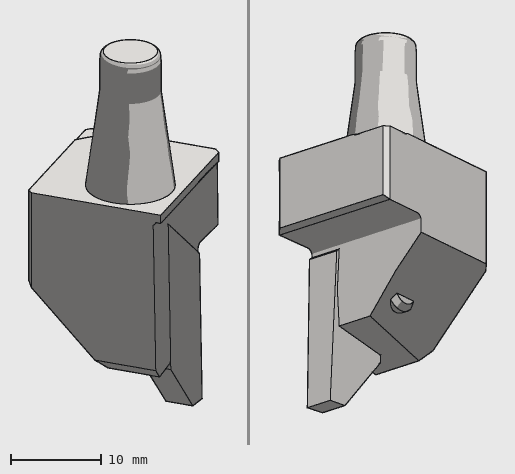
import cadquery as cq
import math


LEFT = -10.0
RIGHT = 6.0
FRONT = -5.97
BACK = 12.05
BOTTOM = -20.45
SLOPE_START = -11.15
CORNER_CHAMFER = 0.55
BACK_RIGHT_CHAMFER = 0.65

LEDGE_HEIGHT = -9.0
NOTCH_WALL = 6.0
NOTCH_FILLET = 0.7
WALL_TAPER_START = -14.8
WALL_FOOT_Y = 5.45
WALL_FOOT_Z = -18.95
TOE_CHAMFER_Y = 1.0
TOE_CHAMFER_Z = 1.2

RELIEF_RADIUS = 13.05
RELIEF_DEPTH = 0.15

SHANK_HEIGHT = 16.45
SHANK_BASE_RADIUS = 5.0
SHANK_RADIUS = 3.45
TAPER_TOP = 11.6
COLLAR_BOTTOM = 15.35
COLLAR_TOP = 15.8
COLLAR_RADIUS = 6.75 / 2
SHANK_ROUND = 0.35

BOSS_RADIUS = 4.9 / 2
BOSS_Y = 2.4
BOSS_BOTTOM = -17.8
BOSS_END_X = -4.75
BOSS_LENGTH = 5.35
BOSS_CHAMFER = 0.65

BLADE_BACK = 6.4
BLADE_FRONT = -1.9
BLADE_TOP = -3.05
BLADE_BACK_TOP = -10.3
BLADE_TIP = -28.15
TIP_FRONT_Y = 3.85
TIP_FRONT_Z = -27.9
BLADE_SHOULDER = -20.9
BLADE_TIP_LEFT = 2.7
BLADE_LEAN = 3.0

RAKE_ACROSS = 2.0
RAKE_DOWN = 1.0
LIP_HEIGHT = -1.03
LIP_CHAMFER = 0.4
CUTTER_SIZE = 66.85
CUTTER_DEPTH = 4.45


def make_rake_cutter():
    """Block outside the rake plane, from below the flange lip downward."""
    across = math.tan(math.radians(RAKE_ACROSS))
    down = math.tan(math.radians(RAKE_DOWN))
    rake_plane = cq.Plane(
        origin=(RIGHT, BLADE_BACK, BLADE_TIP),
        xDir=(across, 1, 0),
        normal=(1, -across, down),
    )
    return (
        cq.Workplane(rake_plane)
        .rect(CUTTER_SIZE, 2 * (LIP_HEIGHT - BLADE_TIP))
        .extrude(CUTTER_DEPTH)
        .faces("<X")
        .edges(">Z")
        .chamfer(LIP_CHAMFER)
    )


def make_block():
    """Intersection of the XZ outline with the YZ outline, with chamfered corners."""
    slope_run = SLOPE_START - BOTTOM
    front_outline = (
        cq.Workplane("XZ", origin=(0, BACK, 0))
        .moveTo(LEFT, 0)
        .lineTo(RIGHT, 0)
        .lineTo(RIGHT, BOTTOM)
        .lineTo(LEFT + slope_run, BOTTOM)
        .lineTo(LEFT, SLOPE_START)
        .close()
        .extrude(BACK - FRONT)
    )
    front_outline = front_outline.edges("|Z and <X").chamfer(CORNER_CHAMFER)
    front_outline = front_outline.edges("|Z and >X and >Y").chamfer(BACK_RIGHT_CHAMFER)

    arc_middle = NOTCH_FILLET * (1 - math.sqrt(0.5))
    side_outline = (
        cq.Workplane("YZ", origin=(LEFT, 0, 0))
        .moveTo(FRONT, 0)
        .lineTo(BACK, 0)
        .lineTo(BACK, LEDGE_HEIGHT + CORNER_CHAMFER)
        .lineTo(BACK - CORNER_CHAMFER, LEDGE_HEIGHT)
        .lineTo(NOTCH_WALL + NOTCH_FILLET, LEDGE_HEIGHT)
        .threePointArc(
            (NOTCH_WALL + arc_middle, LEDGE_HEIGHT - arc_middle),
            (NOTCH_WALL, LEDGE_HEIGHT - NOTCH_FILLET),
        )
        .lineTo(NOTCH_WALL, WALL_TAPER_START)
        .lineTo(WALL_FOOT_Y, WALL_FOOT_Z)
        .lineTo(FRONT + TOE_CHAMFER_Y, BOTTOM)
        .lineTo(FRONT, BOTTOM + TOE_CHAMFER_Z)
        .close()
        .extrude(RIGHT - LEFT)
    )
    return front_outline.intersect(side_outline)


def make_relief():
    """Corner block with a conical inner wall, removed from the flange face."""
    width = -LEFT
    depth = BACK
    corner = cq.Workplane("XY").rect(2 * width, 2 * depth).extrude(-RELIEF_DEPTH)
    corner = corner.intersect(
        cq.Workplane("XY").box(width, depth, 2 * RELIEF_DEPTH).translate((LEFT / 2, BACK / 2, 0))
    )
    flange_cone = cq.Workplane(
        cq.Solid.makeCone(RELIEF_RADIUS + RELIEF_DEPTH, RELIEF_RADIUS, RELIEF_DEPTH)
    ).translate((0, 0, -RELIEF_DEPTH))
    return corner.cut(flange_cone)


def make_shank():
    """Tapered shank with a short cylinder and a rounded collar at the top."""
    round_height = SHANK_HEIGHT - COLLAR_TOP
    return (
        cq.Workplane("XZ")
        .moveTo(0, 0)
        .lineTo(SHANK_BASE_RADIUS, 0)
        .lineTo(SHANK_RADIUS, TAPER_TOP)
        .lineTo(SHANK_RADIUS, COLLAR_BOTTOM)
        .lineTo(COLLAR_RADIUS, COLLAR_TOP)
        .threePointArc(
            (
                COLLAR_RADIUS - SHANK_ROUND * (1 - math.sqrt(0.5)),
                COLLAR_TOP + round_height * math.sqrt(0.5),
            ),
            (COLLAR_RADIUS - SHANK_ROUND, SHANK_HEIGHT),
        )
        .lineTo(0, SHANK_HEIGHT)
        .close()
        .revolve(360, (0, 0, 0), (0, 1, 0))
    )


def make_boss():
    """Chamfered cylinder along X."""
    return (
        cq.Workplane("YZ", origin=(BOSS_END_X, BOSS_Y, BOSS_BOTTOM + BOSS_RADIUS))
        .circle(BOSS_RADIUS)
        .extrude(BOSS_LENGTH)
        .faces("<X")
        .chamfer(BOSS_CHAMFER)
    )


def make_blade(rake_cutter):
    """Blade pointed at the bottom, with a sloping top, a leaning inner face and a raked outer face."""
    side_outline = (
        cq.Workplane("YZ")
        .moveTo(BLADE_BACK, BLADE_TIP)
        .lineTo(BLADE_BACK, BLADE_BACK_TOP)
        .lineTo(BLADE_FRONT, BLADE_TOP)
        .lineTo(BLADE_FRONT, BLADE_SHOULDER)
        .lineTo(TIP_FRONT_Y, TIP_FRONT_Z)
        .close()
        .extrude(RIGHT)
    )
    lean = (BLADE_TOP - BLADE_TIP) * math.tan(math.radians(BLADE_LEAN))
    front_outline = (
        cq.Workplane("XZ", origin=(0, BLADE_BACK, 0))
        .moveTo(BLADE_TIP_LEFT, BLADE_TIP)
        .lineTo(RIGHT, BLADE_TIP)
        .lineTo(RIGHT, BLADE_TOP)
        .lineTo(BLADE_TIP_LEFT - lean, BLADE_TOP)
        .close()
        .extrude(BLADE_BACK - BLADE_FRONT)
    )
    return side_outline.intersect(front_outline).cut(rake_cutter)


def make_housing(rake_cutter, blade):
    """Block, shank and boss, with a slot that fits the blade."""
    block = make_block().cut(rake_cutter).cut(make_relief())
    return block.union(make_shank()).union(make_boss()).cut(blade)


rake_cutter = make_rake_cutter()
blade = make_blade(rake_cutter)
housing = make_housing(rake_cutter, blade)

result = cq.Compound.makeCompound([housing.solids().val(), blade.solids().val()])